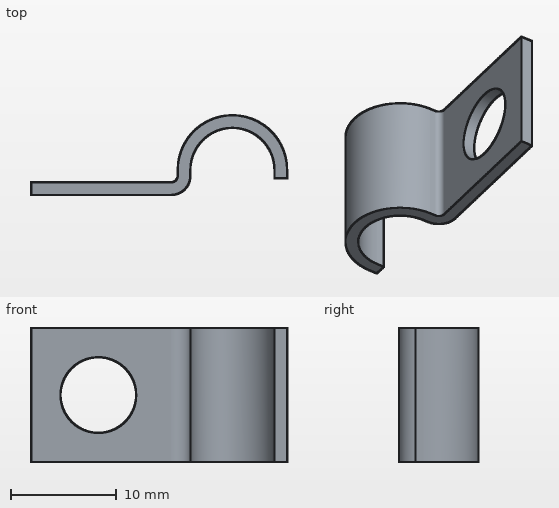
import cadquery as cq

overall_length = 24.23
overall_depth = 7.57
width = 12.7
thickness = 1.22
loop_inner_radius = 3.97
bend_inner_radius = 0.6
lip_length = 0.79
hole_diameter = 7.14
hole_edge_distance = 6.35

loop_outer_radius = loop_inner_radius + thickness
bend_outer_radius = bend_inner_radius + thickness
loop_center_x = overall_length - loop_outer_radius
loop_center_y = overall_depth - loop_outer_radius
loop_outer_left = loop_center_x - loop_outer_radius
loop_inner_left = loop_center_x - loop_inner_radius
loop_inner_right = loop_center_x + loop_inner_radius
bend_center_x = loop_outer_left - bend_inner_radius
bend_center_y = bend_outer_radius
lip_end_y = loop_center_y - lip_length


def bent_strip():
    """Flat tab, tight bend and half-round loop, extruded across the strip width."""
    return (
        cq.Workplane("XY")
        .moveTo(0, 0)
        .lineTo(bend_center_x, 0)
        .radiusArc((loop_inner_left, bend_center_y), -bend_outer_radius)
        .lineTo(loop_inner_left, loop_center_y)
        .threePointArc(
            (loop_center_x, loop_center_y + loop_inner_radius),
            (loop_inner_right, loop_center_y),
        )
        .lineTo(loop_inner_right, lip_end_y)
        .lineTo(overall_length, lip_end_y)
        .lineTo(overall_length, loop_center_y)
        .threePointArc(
            (loop_center_x, overall_depth),
            (loop_outer_left, loop_center_y),
        )
        .lineTo(loop_outer_left, bend_center_y)
        .radiusArc((bend_center_x, thickness), bend_inner_radius)
        .lineTo(0, thickness)
        .close()
        .extrude(width)
    )


def screw_hole():
    """Cylinder through the tab thickness, centred on the strip width."""
    return (
        cq.Workplane("XZ", origin=(hole_edge_distance, thickness, width / 2))
        .circle(hole_diameter / 2)
        .extrude(thickness)
    )


result = bent_strip().cut(screw_hole())